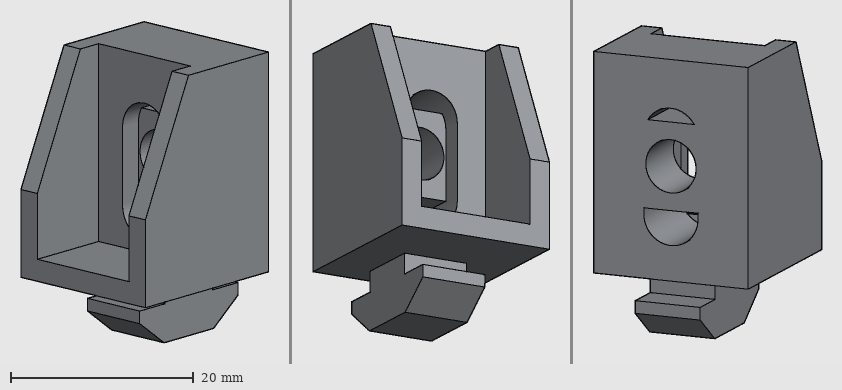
import cadquery as cq

width = 18.5
depth = 20.0
height = 25.0
side_wall = 2.45
floor_thickness = 2.5
rear_wall = 10.05
top_depth = 13.0
front_height = 10.0

slot_width = 6.5
slot_length = 15.5
slot_bottom = 4.0
web_bottom = 7.95
web_height = 10.0
web_recess = 2.58
hole_diameter = 6.0

foot_width = 7.8
neck_depth = 7.8
neck_height = 2.4
foot_overhang = 0.9
head_depth = 15.95
head_base_depth = 8.0
head_edge_height = 1.43
foot_height = 31.8 - height


def extrude_side_profile(points, thickness):
    """Extrude a closed (Y, Z) outline along X, centred on X = 0."""
    return cq.Workplane("YZ").polyline(points).close().extrude(thickness / 2, both=True)


def make_housing():
    outline = [
        (0, 0),
        (-depth, 0),
        (-depth, front_height),
        (-top_depth, height),
        (0, height),
    ]
    pocket = cq.Workplane("XY").box(
        width - 2 * side_wall,
        depth - rear_wall,
        height - floor_thickness,
        centered=(True, False, False),
    ).translate((0, -depth, floor_thickness))
    return extrude_side_profile(outline, width).cut(pocket)


def make_slot():
    return (
        cq.Workplane("XZ")
        .center(0, slot_bottom + slot_length / 2)
        .slot2D(slot_length, slot_width, 90)
        .extrude(rear_wall)
    )


def make_web(slot):
    """Web filling the middle of the slot, set back from the pocket face."""
    web_thickness = rear_wall - web_recess
    block = (
        cq.Workplane("XZ")
        .center(0, web_bottom + web_height / 2)
        .rect(slot_width, web_height)
        .extrude(web_thickness)
    )
    hole = (
        cq.Workplane("XZ")
        .center(0, web_bottom + web_height / 2)
        .circle(hole_diameter / 2)
        .extrude(web_thickness)
    )
    return block.intersect(slot).cut(hole)


def make_foot():
    center_y = foot_overhang - head_depth / 2
    half = [
        (neck_depth / 2, 0),
        (neck_depth / 2, -neck_height),
        (head_depth / 2, -neck_height),
        (head_depth / 2, -neck_height - head_edge_height),
        (head_base_depth / 2, -foot_height),
    ]
    rear = [(center_y + offset, z) for offset, z in half]
    front = [(center_y - offset, z) for offset, z in reversed(half)]
    return extrude_side_profile(rear + front, foot_width)


slot = make_slot()
result = make_housing().cut(slot).union(make_web(slot)).union(make_foot())